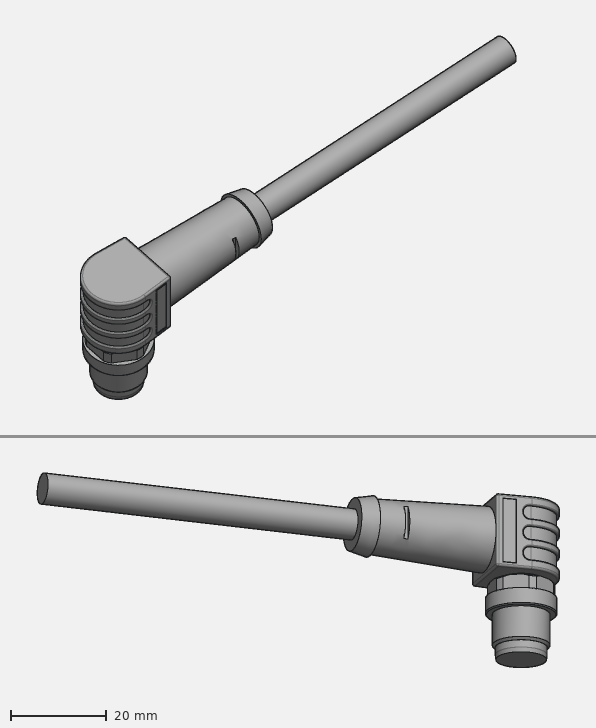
import cadquery as cq
import math


block_radius = 8.0
block_height = 2 * block_radius
block_rear_y = 8.2
side_taper = 4.0
block_edge_radius = 0.5

groove_count = 3
groove_pitch = 4.5
groove_width = 2.95
groove_depth = 0.55
groove_rear_y = 2.35
groove_edge_radius = 0.25

panel_front_y = 3.9
panel_rear_y = 6.8
panel_height = 14.0
panel_depth = 0.2

sleeve_front_radius = 7.05
sleeve_rear_radius = 5.85
ring_radius = 6.5
ring_front_y = 33.75
ring_rear_radius = 5.65
ring_rear_y = 37.6
notch_front_y = 27.1
notch_width = 0.9
notch_floor_x = 5.0
cable_diameter = 6.6
cable_end_y = 106.7

neck_diameter = 9.5
neck_bottom_z = -8.8
hex_sides = 6
hex_across_flats = 13.0
hex_corner_diameter = 14.1
hex_top_chamfer = 0.4
hex_bottom_z = -12.05
collar_diameter = 15.0
collar_bottom_z = -15.6
collar_chamfer = 0.25
thread_diameter = 12.1
thread_bottom_z = -22.9
thread_chamfer = 0.55
nose_diameter = 10.9
tip_top_z = -24.5
tip_diameter = 10.6
plug_bottom_z = -25.5


def block_plan(inset):
    """Rounded front with tangent tapered sides, moved inward by inset, as a full-height prism."""
    radius = block_radius - inset
    taper = math.radians(side_taper)
    tangent_x = radius * math.cos(taper)
    tangent_y = radius * math.sin(taper)
    rear_x = (radius - block_rear_y * math.sin(taper)) / math.cos(taper)
    return (
        cq.Workplane("XY")
        .workplane(offset=-block_height / 2)
        .moveTo(-rear_x, block_rear_y)
        .lineTo(-tangent_x, tangent_y)
        .threePointArc((0, -radius), (tangent_x, tangent_y))
        .lineTo(rear_x, block_rear_y)
        .close()
        .extrude(block_height)
    )


def side_skin(depth):
    """The outer layer of the block's sides and nose, depth thick."""
    return block_plan(0).cut(block_plan(depth))


def grip_grooves():
    """Grooves that wrap around the nose and end in half rounds on the sides."""
    skin = side_skin(groove_depth)
    end_radius = groove_width / 2
    straight_length = block_radius + groove_rear_y
    grooves = cq.Workplane("XY")
    for index in range(groove_count):
        z = (index - (groove_count - 1) / 2) * groove_pitch
        center_y = groove_rear_y - end_radius
        groove = (
            cq.Workplane("YZ")
            .moveTo(center_y, z + end_radius)
            .threePointArc((groove_rear_y, z), (center_y, z - end_radius))
            .lineTo(center_y - straight_length, z - end_radius)
            .lineTo(center_y - straight_length, z + end_radius)
            .close()
            .extrude(block_radius, both=True)
        )
        grooves = grooves.add(groove.intersect(skin))
    return grooves.combine()


def side_panels():
    """Rectangular shallow recesses in both sides of the block."""
    window = cq.Workplane("XY").box(
        2 * block_radius, panel_rear_y - panel_front_y, panel_height
    ).translate((0, (panel_front_y + panel_rear_y) / 2, 0))
    return window.intersect(side_skin(panel_depth))


def round_groove_edges(block):
    """Round the outer edges of the grip grooves, leaving their floor edges sharp."""
    core = block_plan(groove_depth).val()
    reach_z = (groove_count * groove_pitch) / 2
    groove_zone = cq.selectors.BoxSelector(
        (-2 * block_radius, -2 * block_radius, -reach_z),
        (2 * block_radius, groove_rear_y + groove_edge_radius, reach_z),
    )
    outer_edges = block.edges(groove_zone).filter(lambda edge: edge.distance(core) > groove_depth / 2)
    return outer_edges.fillet(groove_edge_radius)


def elbow_block():
    block = block_plan(0)
    block = block.faces("<Z or >Z or >Y").edges().fillet(block_edge_radius)
    block = round_groove_edges(block.cut(grip_grooves()))
    return block.cut(side_panels())


def sleeve_and_cable():
    """Turned profile about Y, with a flat-bottomed notch on each side of the sleeve."""
    turned = (
        cq.Workplane("XY")
        .moveTo(0, 0)
        .lineTo(sleeve_front_radius, 0)
        .lineTo(sleeve_front_radius, block_rear_y)
        .lineTo(sleeve_rear_radius, ring_front_y)
        .lineTo(ring_radius, ring_front_y)
        .lineTo(ring_rear_radius, ring_rear_y)
        .lineTo(cable_diameter / 2, ring_rear_y)
        .lineTo(cable_diameter / 2, cable_end_y)
        .lineTo(0, cable_end_y)
        .close()
        .revolve(360, (0, 0, 0), (0, 1, 0))
    )
    notch_y = notch_front_y + notch_width / 2
    for side in (-1, 1):
        cutter = cq.Workplane("XY").box(block_radius, notch_width, block_height)
        turned = turned.cut(cutter.translate((side * (notch_floor_x + block_radius / 2), notch_y, 0)))
    return turned


def disc(diameter, top_z, bottom_z):
    return cq.Workplane("XY").workplane(offset=bottom_z).circle(diameter / 2).extrude(top_z - bottom_z)


def hex_nut():
    """Hexagon with flats facing +-Y, its corners turned down and its upper corners beveled."""
    corner_radius = hex_across_flats / 2 / math.cos(math.pi / hex_sides)
    corners = []
    for index in range(hex_sides):
        angle = index * 2 * math.pi / hex_sides
        corners.append((corner_radius * math.cos(angle), corner_radius * math.sin(angle)))
    hexagon = (
        cq.Workplane("XY")
        .workplane(offset=hex_bottom_z)
        .polyline(corners)
        .close()
        .extrude(neck_bottom_z - hex_bottom_z)
    )
    turned_blank = disc(hex_corner_diameter, neck_bottom_z, hex_bottom_z)
    return hexagon.intersect(turned_blank.faces(">Z").chamfer(hex_top_chamfer))


def plug():
    collar = disc(collar_diameter, hex_bottom_z, collar_bottom_z)
    thread = disc(thread_diameter, collar_bottom_z, thread_bottom_z)
    tip = (
        cq.Workplane("XY")
        .workplane(offset=tip_top_z)
        .circle(nose_diameter / 2)
        .workplane(offset=plug_bottom_z - tip_top_z)
        .circle(tip_diameter / 2)
        .loft()
    )

    body = disc(neck_diameter, 0, neck_bottom_z)
    body = body.union(hex_nut())
    body = body.union(collar.faces("<Z").chamfer(collar_chamfer))
    body = body.union(thread.faces("<Z").chamfer(thread_chamfer))
    body = body.union(disc(nose_diameter, thread_bottom_z, tip_top_z))
    return body.union(tip)


result = elbow_block().union(sleeve_and_cable()).union(plug())